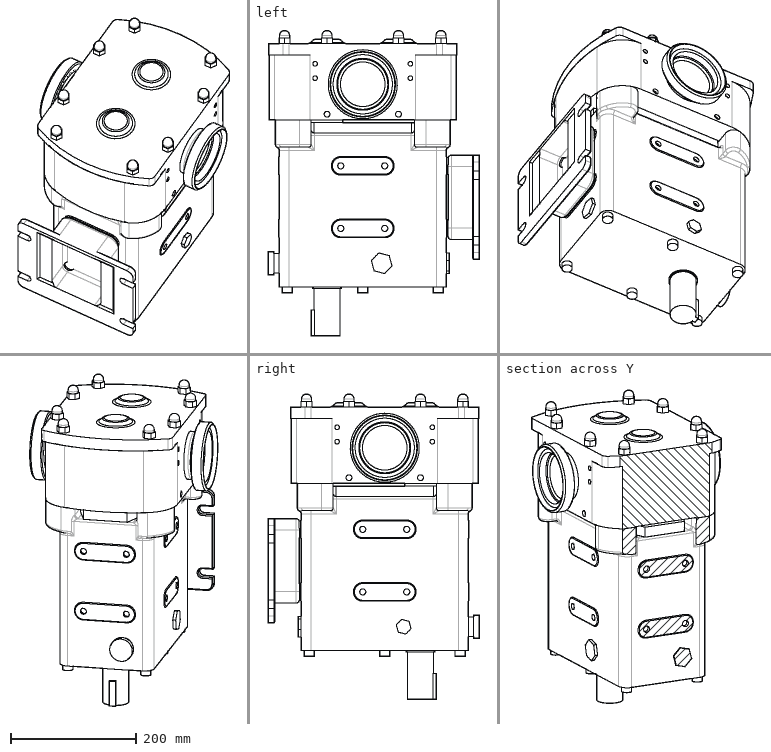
import cadquery as cq
import math


margin = 0.25
head_bottom = 266.5
shaft_offset = 57.0

case_x = 154.0
case_y = 266.5
case_top = 245.5
case_corner = 15.5
case_top_round = 3.5

platform_top = 262.0
platform_x = 73.5
platform_y = 130.0
platform_arm_x = 35.5
platform_arm_y = 78.0
platform_waist = (52.5, 84.3)
seal_radius = 25.5

leg_inner = (50.5, 82.5)
leg_bottom = 223.0
leg_side_round = 14.5
leg_bottom_round = 4.5
leg_cove = 5.5

shaft_radius = 21.0
shaft_length = 78
collar_radius = 23.0
collar_height = 2.0
key_length = 41.5
key_width = 10.0
key_rise = 4.5

pad_length = 100.0
pad_width = 29.5
pad_rise = 1.5
pad_levels = (93.5, 193.5)
pad_hole_offset = 35.0
pad_hole_diameter = 9.5
pad_hole_depth = 5

plug_level = 38.0
plug_offset = 30.0
plug_across_corners = 34
plug_rise = 5
plug_turn = -15
end_plug_across_corners = 24.5
end_plug_rise = 6.0
breather_neck_radius = 15.5
breather_cap_radius = 18.5
breather_cap_start = 141.5
breather_top = 151

base_bolt_radius = 8.5
base_bolt_height = 9.3
base_bolt_x = 64.0
base_bolt_y = 120.5

head_x = 214.5
head_y = 299.5
cover_y = 300.5
head_end_radius = 234
head_corner = 59.0
cover_bottom = 369.5
cover_top = 388.0
cover_corner = 10.0

nut_across_corners = 20.5
nut_height = 9.3
nut_collar_height = 3.5
nut_dome_radius = 8.5
nut_spots = ((70.0, 124.5), (96.0, shaft_offset))

boss_foot_radius = 30.5
boss_base_radius = 27.0
boss_base_height = 1.5
boss_shoulder_radius = 21.5
boss_shoulder_height = 6.5
boss_top_radius = 18.5
boss_height = 7.5

port_level = 323.5
port_span = 284.0
port_reach = port_span / 2
flange_back = 121.8
flange_radius = 55.0
flange_chamfer = 3.0
neck_flare_radius = 40.0
neck_groove_radius = 37.5
neck_groove_x = 117.5
neck_radius = 38.5
neck_step_x = 114.0
socket_radius = 51.0
socket_floor_radius = 47.0
socket_depth = 7.0
bore_radius = 41.5
bore_depth = 18.5
bore_end_radius = 35.5
bore_end_depth = 22.5

side_holes = ((76.0, 356.0, 7.5), (76.0, 333.0, 7.5), (shaft_offset, 275.5, 9.3))
side_hole_depth = 5

foot_face = 186.0
foot_back_gap = 3.0
plate_thickness = 11.0
plate_x = 211.5
plate_bottom = 44.5
plate_top = 210.5
plate_corner = 10.5
plate_edge_chamfer = 2.0
slot_width = 13.5
slot_depth = 24.0
slot_levels = (73.5, 178.0)
neck_x = 105.0
neck_bottom = 75.5
neck_corner = 18.5
neck_back_round = 5.5
recess_x = 141
recess_bottom = 82.5
recess_top = 203.0
recess_depth = 3.5
pocket_x = 89.5
pocket_depth = 42.5
pocket_corner = 9.3
pocket_floor_round = 6.0
seat_radius = 8.5


def all_corners(x, y):
    """The four mirror images of one point about the X and Y axes."""
    return [(sx * x, sy * y) for sx in (-1, 1) for sy in (-1, 1)]


def box_between(low, high):
    """Box given by its two opposite corners."""
    sizes = [b - a for a, b in zip(low, high)]
    return cq.Workplane("XY").box(*sizes, centered=False).translate(low)


def side_plane(angle, distance, offset, level):
    """Plane on a vertical side; the outward direction is at the angle from +X."""
    turn = math.radians(angle)
    out = cq.Vector(math.cos(turn), math.sin(turn), 0)
    along = cq.Vector(-math.sin(turn), math.cos(turn), 0)
    origin = out * distance + along * offset + cq.Vector(0, 0, level)
    return cq.Plane(origin=origin, xDir=along, normal=out)


case_sides = ((0, case_x / 2), (90, case_y / 2), (180, case_x / 2), (270, case_y / 2))



def leg(sx, sy):
    """Corner leg under the pump head."""
    inner_x, inner_y = leg_inner
    axis_x = head_x / 2 - head_corner
    axis_reach = math.sqrt((head_end_radius - head_corner) ** 2 - axis_x ** 2)
    axis_y = head_y / 2 - head_end_radius + axis_reach
    post = box_between((inner_x, inner_y, leg_bottom), (head_x, head_y, head_bottom))
    column = (
        cq.Workplane("XY").workplane(offset=leg_bottom).center(axis_x, axis_y)
        .circle(head_corner).extrude(head_bottom - leg_bottom)
    )
    post = post.intersect(column)
    post = post.edges("|Z").edges(">X or >Y").fillet(leg_side_round)
    if sx < 0:
        post = post.mirror("YZ")
    if sy < 0:
        post = post.mirror("XZ")
    return post


def leg_joint(sx, sy):
    """Selector for the edges where one leg meets the gearbox walls."""
    inner_x, inner_y = leg_inner
    return cq.selectors.BoxSelector(
        (sx * (inner_x - margin), sy * (inner_y - margin), leg_bottom - margin),
        (sx * (case_x / 2 + margin), sy * (case_y / 2 + margin), case_top - case_top_round + margin),
        boundingbox=True,
    )


def leg_undersides():
    """Selector for the flat undersides of all the legs."""
    return cq.selectors.BoxSelector(
        (-head_x, -head_y, leg_bottom - margin),
        (head_x, head_y, leg_bottom + margin),
        boundingbox=True,
    )


def gearbox_case():
    case = cq.Workplane("XY").rect(case_x, case_y).extrude(case_top)
    case = case.edges("|Z").fillet(case_corner)
    case = case.faces(">Z").edges().fillet(case_top_round)
    quadrants = all_corners(1, 1)
    for sx, sy in quadrants:
        case = case.union(leg(sx, sy))
    for sx, sy in quadrants:
        case = case.edges(leg_joint(sx, sy)).fillet(leg_cove)
    return case.faces(leg_undersides()).edges().fillet(leg_bottom_round)


def platform():
    waist_x, waist_y = platform_waist
    quarter = [
        (platform_x, platform_arm_y),
        (waist_x, waist_y),
        (platform_arm_x, platform_y),
    ]
    outline = quarter + [(-x, y) for x, y in reversed(quarter)]
    outline += [(-x, -y) for x, y in outline]
    return (
        cq.Workplane("XY").workplane(offset=case_top).polyline(outline).close()
        .extrude(platform_top - case_top)
    )


def drive_shaft():
    key_top = shaft_offset + shaft_radius + key_rise
    shaft = cq.Workplane("XY").center(0, shaft_offset).circle(shaft_radius).extrude(-shaft_length)
    collar = cq.Workplane("XY").center(0, shaft_offset).circle(collar_radius).extrude(-collar_height)
    key = box_between(
        (-key_width / 2, shaft_offset, -shaft_length),
        (key_width / 2, key_top, key_length - shaft_length),
    )
    return shaft.union(collar).union(key)


def shaft_seal():
    return (
        cq.Workplane("XY").workplane(offset=platform_top).center(0, shaft_offset)
        .circle(seal_radius).extrude(head_bottom - platform_top)
    )


def pad(angle, distance, level):
    plane = side_plane(angle, distance, 0, level)
    return cq.Workplane(plane).slot2D(pad_length, pad_width).extrude(pad_rise, taper=45)


def pad_holes(angle, distance, level):
    plane = side_plane(angle, distance + pad_rise, 0, level)
    return (
        cq.Workplane(plane).pushPoints([(-pad_hole_offset, 0), (pad_hole_offset, 0)])
        .circle(pad_hole_diameter / 2).extrude(-pad_hole_depth)
    )


def hex_plug(angle, distance, across_corners, rise):
    plane = side_plane(angle, distance, plug_offset, plug_level).rotated((0, 0, plug_turn))
    return cq.Workplane(plane).polygon(6, across_corners).extrude(rise)


def breather():
    wall = case_y / 2
    plane = side_plane(90, wall, plug_offset, plug_level)
    neck = cq.Workplane(plane).circle(breather_neck_radius).extrude(breather_cap_start - wall)
    cap = (
        cq.Workplane(plane).workplane(offset=breather_cap_start - wall)
        .circle(breather_cap_radius).extrude(breather_top - breather_cap_start)
    )
    return neck.union(cap)


def base_bolts():
    spots = all_corners(base_bolt_x, base_bolt_y) + [(-base_bolt_x, 0), (base_bolt_x, 0)]
    return cq.Workplane("XY").pushPoints(spots).circle(base_bolt_radius).extrude(-base_bolt_height)


def make_gearbox():
    body = gearbox_case().union(platform()).union(shaft_seal()).union(drive_shaft())
    body = body.union(base_bolts()).union(breather())
    body = body.union(hex_plug(180, case_x / 2, plug_across_corners, plug_rise))
    body = body.union(hex_plug(270, case_y / 2, plug_across_corners, plug_rise))
    body = body.union(hex_plug(0, case_x / 2, end_plug_across_corners, end_plug_rise))
    for angle, distance in case_sides:
        for level in pad_levels:
            body = body.union(pad(angle, distance, level))
            body = body.cut(pad_holes(angle, distance, level))
    return body



def head_prism(bottom, top, length, corner):
    """Flat-sided prism with bulged ends and rounded corners."""
    half_x = head_x / 2
    half_y = length / 2
    corner_y = half_y - head_end_radius + math.sqrt(head_end_radius ** 2 - half_x ** 2)
    return (
        cq.Workplane("XY").workplane(offset=bottom)
        .moveTo(half_x, -corner_y)
        .lineTo(half_x, corner_y)
        .threePointArc((0, half_y), (-half_x, corner_y))
        .lineTo(-half_x, -corner_y)
        .threePointArc((0, -half_y), (half_x, -corner_y))
        .close().extrude(top - bottom)
        .edges("|Z").fillet(corner)
    )


def cap_nut(x, y):
    collar_bottom = cover_top + nut_height
    dome_centre = collar_bottom + nut_collar_height
    base = cq.Workplane("XY").workplane(offset=cover_top).polygon(6, nut_across_corners).extrude(nut_height)
    collar = (
        cq.Workplane("XY").workplane(offset=collar_bottom)
        .circle(nut_dome_radius).extrude(nut_collar_height)
    )
    dome = cq.Workplane("XY").sphere(nut_dome_radius).translate((0, 0, dome_centre))
    return base.union(collar).union(dome).translate((x, y, 0))


def cover_boss(y):
    profile = [
        (0, 0),
        (boss_foot_radius, 0),
        (boss_base_radius, boss_base_height),
        (boss_shoulder_radius, boss_shoulder_height),
        (boss_top_radius, boss_height),
        (0, boss_height),
    ]
    boss = cq.Workplane("XZ").polyline(profile).close().revolve(360, (0, 0), (0, 1))
    return boss.translate((0, y, cover_top))


def turned_about_x(profile):
    """Solid turned about the X axis at port height; profile points are (x, radius)."""
    turned = cq.Workplane("XZ").polyline(profile).close().revolve(360, (0, 0), (1, 0))
    return turned.translate((0, 0, port_level))


def port_outside():
    rim_radius = flange_radius - flange_chamfer
    return turned_about_x([
        (head_x / 2, 0),
        (head_x / 2, neck_radius),
        (neck_step_x, neck_radius),
        (neck_groove_x, neck_groove_radius),
        (flange_back, neck_flare_radius),
        (flange_back, rim_radius),
        (flange_back + flange_chamfer / 2, flange_radius),
        (port_reach - flange_chamfer, flange_radius),
        (port_reach, rim_radius),
        (port_reach, 0),
    ])


def port_bore():
    return turned_about_x([
        (port_reach, 0),
        (port_reach, socket_radius),
        (port_reach - socket_depth, socket_floor_radius),
        (port_reach - socket_depth, bore_radius),
        (port_reach - bore_depth, bore_radius),
        (port_reach - bore_end_depth, bore_end_radius),
        (port_reach - bore_end_depth, 0),
    ])


def side_hole(angle, offset, level, diameter):
    plane = side_plane(angle, head_x / 2, offset, level)
    return cq.Workplane(plane).circle(diameter / 2).extrude(-side_hole_depth)


def make_pump_head():
    body = head_prism(head_bottom, cover_bottom, head_y, head_corner)
    body = body.union(head_prism(cover_bottom, cover_top, cover_y, cover_corner))
    port = port_outside().cut(port_bore())
    body = body.union(port).union(port.mirror("YZ"))
    for y in (-shaft_offset, shaft_offset):
        body = body.union(cover_boss(y))
    for spot in nut_spots:
        for x, y in all_corners(*spot):
            body = body.union(cap_nut(x, y))
    for offset, level, diameter in side_holes:
        for angle in (0, 180):
            for side in (-1, 1):
                body = body.cut(side_hole(angle, side * offset, level, diameter))
    return body



def foot_plate():
    back = plate_thickness - foot_face
    plate = box_between((-plate_x / 2, -foot_face, plate_bottom), (plate_x / 2, back, plate_top))
    plate = plate.edges("|Y").fillet(plate_corner)
    for level in slot_levels:
        for side in (-1, 1):
            slot = (
                cq.Workplane("XZ", origin=(side * plate_x / 2, 0, level))
                .slot2D(2 * slot_depth, slot_width).extrude(foot_face)
            )
            plate = plate.cut(slot)
    return plate.faces(">Y").edges().chamfer(plate_edge_chamfer)


def foot_neck():
    back = -case_y / 2 - foot_back_gap
    front = plate_edge_chamfer + plate_edge_chamfer - foot_face
    neck = box_between((-neck_x / 2, front, neck_bottom), (neck_x / 2, back, plate_top))
    neck = neck.edges("|Y").fillet(neck_corner)
    return neck.faces(">Y").edges().fillet(neck_back_round)


def foot_lands():
    """Raised lands on the foot's back that meet the gearbox pads."""
    lands = cq.Workplane("XY")
    pad_face = case_y / 2 + pad_rise
    for level in pad_levels:
        plane = side_plane(270, pad_face, 0, level)
        land = (
            cq.Workplane(plane).slot2D(pad_length - 2 * pad_rise, pad_width - 2 * pad_rise)
            .extrude(foot_back_gap)
        )
        lands = lands.add(land)
    return lands


def foot_hollow():
    """Shallow bevelled recess in the mounting face, the deep pocket behind it and its bolt seats."""
    middle = (recess_bottom + recess_top) / 2
    height = recess_top - recess_bottom
    plane = cq.Plane(origin=(0, -foot_face, middle), xDir=(1, 0, 0), normal=(0, 1, 0))
    recess = cq.Workplane(plane).rect(recess_x, height).extrude(recess_depth, taper=45)
    pocket = cq.Workplane(plane).rect(pocket_x, height).extrude(pocket_depth)
    pocket = pocket.edges("|Y").fillet(pocket_corner)
    pocket = pocket.faces(">Y").edges().fillet(pocket_floor_round)
    seats = (
        cq.Workplane(plane)
        .pushPoints(all_corners(pocket_x / 2 - pocket_corner, height / 2 - pocket_corner))
        .circle(seat_radius).extrude(pocket_depth)
    )
    return recess, pocket, seats


def make_foot():
    body = foot_plate().union(foot_neck())
    for land in foot_lands().vals():
        body = body.union(cq.Workplane(land))
    for hollow in foot_hollow():
        body = body.cut(hollow)
    return body


gearbox = make_gearbox()
pump_head = make_pump_head()
foot = make_foot()

result = cq.Compound.makeCompound([gearbox.val(), pump_head.val(), foot.val()])